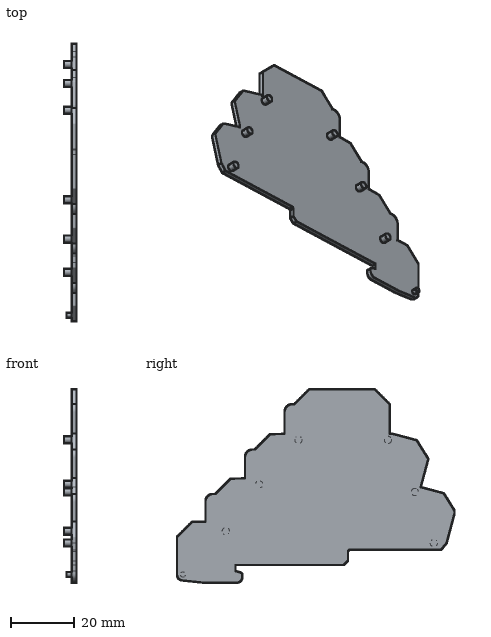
import cadquery as cq
import math


total_thickness = 3.98
total_length = 87.8
total_height = 61.25

peg_height = 2.4
peg_diameter = 2.3
locating_peg_height = 1.6
locating_peg_diameter = 1.6
plate_thickness = total_thickness - peg_height
peg_centres = [
    (66.7, 45.2),
    (75.2, 28.7),
    (81.2, 12.6),
    (38.45, 45.2),
    (26.0, 31.15),
    (15.5, 16.35),
]
locating_peg_centre = (1.95, 2.65)

first_riser_y = 9.0
riser_pitch = 12.5
riser_count = 3
riser_ys = [first_riser_y + step * riser_pitch for step in range(riser_count)]
tread_zs = [19.35, 33.1, 47.15]
shoulder_zs = [28.15, 42.2, 56.5]
shoulder_radius = 2.5
shoulder_width = 3.15
tread_tilt = math.radians(2)
outer_chamfer = 4.85
corner_radius = 0.5

crown_near_y = riser_ys[-1] + shoulder_width + total_height - shoulder_zs[-1]
crown_far_y = 67.35

lobe_tilt = math.radians(15)
lobe_nose_tilt = math.radians(32)
upper_lobe_root = (68.2, tread_zs[-1])
upper_lobe_shoulder_y = 75.8
upper_lobe_tip_y = 79.5
lobe_notch_z = 30.3
lower_lobe_shoulder_y = 84.35
lower_lobe_tip_radius = 2.0
lower_lobe_heel_z = 12.55

far_base_z = 10.4
far_base_end_y = 83.5
mid_base_z = 5.6
base_step_y = 54.1
base_step_top_chamfer = 0.4
base_step_bottom_chamfer = 1.35

hook_root_y = 18.55
hook_root_z = 3.8
hook_tip_y = 20.75
hook_lip_radius = 0.8
hook_heel_radius = 1.9
hook_tilt = math.radians(17)
sole_slope_start_y = 8.7
sole_slope = math.radians(6)
foot_corner_radius = 2.0


def fall_outward(start, end_y, tilt):
    """Point at end_y on a line that falls from start at the given angle to the Y axis."""
    drop = (end_y - start[0]) * math.tan(tilt)
    return (end_y, start[1] - drop)


def fall_inward(start, end_z, tilt):
    """Point at end_z on a line that leans back from start at the given angle to the Z axis."""
    setback = (start[1] - end_z) * math.tan(tilt)
    return (start[0] - setback, end_z)


def ramp_top(foot_y, foot_z, tread_root):
    """Corner where a 45 degree ramp meets the tread that falls gently from its riser."""
    fall = math.tan(tread_tilt)
    rise = (tread_root[1] - foot_z - (tread_root[0] - foot_y) * fall) / (1 - fall)
    return (foot_y + rise, foot_z + rise)


def sharp_lobe_tip_y():
    """Y of the lower lobe's corner before rounding brings it back to the overall length."""
    tangent_span = math.tan(lobe_nose_tilt / 2) + math.tan(lobe_tilt / 2)
    edge_span = 1 / math.tan(lobe_nose_tilt) + 1 / math.tan(lobe_tilt)
    return total_length + lower_lobe_tip_radius * tangent_span / edge_span


def outline_points():
    """Sharp-cornered outline, with a radius for each corner that is rounded."""
    points = []
    rounded = []

    def add(point, radius=None):
        points.append(point)
        if radius:
            rounded.append((point, radius))

    add((0, tread_zs[0] - outer_chamfer), corner_radius)
    add((outer_chamfer, tread_zs[0]), corner_radius)
    for step, riser_y in enumerate(riser_ys):
        shoulder_z = shoulder_zs[step]
        add((riser_y, tread_zs[step]))
        add((riser_y, shoulder_z), shoulder_radius)
        shoulder_end_y = riser_y + shoulder_width
        add((shoulder_end_y, shoulder_z))
        if step + 1 < riser_count:
            tread_root = (riser_ys[step + 1], tread_zs[step + 1])
            add(ramp_top(shoulder_end_y, shoulder_z, tread_root), corner_radius)

    add((crown_near_y, total_height), corner_radius)
    add((crown_far_y - outer_chamfer, total_height), corner_radius)
    add((crown_far_y, total_height - outer_chamfer), corner_radius)
    add((crown_far_y, tread_zs[-1]))

    upper_shoulder = fall_outward(upper_lobe_root, upper_lobe_shoulder_y, lobe_tilt)
    upper_tip = fall_outward(upper_shoulder, upper_lobe_tip_y, math.pi / 2 - lobe_nose_tilt)
    notch = fall_inward(upper_tip, lobe_notch_z, lobe_tilt)
    lower_shoulder = fall_outward(notch, lower_lobe_shoulder_y, lobe_tilt)
    lower_tip = fall_outward(lower_shoulder, sharp_lobe_tip_y(), math.pi / 2 - lobe_nose_tilt)
    add(upper_lobe_root)
    add(upper_shoulder, corner_radius)
    add(upper_tip, corner_radius)
    add(notch)
    add(lower_shoulder, corner_radius)
    add(lower_tip, lower_lobe_tip_radius)
    add(fall_inward(lower_tip, lower_lobe_heel_z, lobe_tilt))

    add((far_base_end_y, far_base_z))
    add((base_step_y + base_step_top_chamfer, far_base_z))
    add((base_step_y, far_base_z - base_step_top_chamfer))
    add((base_step_y, mid_base_z + base_step_bottom_chamfer))
    add((base_step_y - base_step_bottom_chamfer, mid_base_z))

    hook_root = (hook_root_y, hook_root_z)
    add((hook_root_y, mid_base_z))
    add(hook_root)
    add(fall_outward(hook_root, hook_tip_y, hook_tilt), hook_lip_radius)
    add((hook_tip_y, 0), hook_heel_radius)
    add((sole_slope_start_y, 0))
    add((0, sole_slope_start_y * math.tan(sole_slope)), foot_corner_radius)
    return points, rounded


def make_plate():
    points, rounded = outline_points()
    plate = cq.Workplane("YZ").polyline(points).close().extrude(plate_thickness)
    for (y, z), radius in rounded:
        corner = cq.selectors.NearestToPointSelector((plate_thickness / 2, y, z))
        plate = plate.edges("|X").edges(corner).fillet(radius)
    return plate


def make_pegs(centres, diameter, height):
    """Pegs rising from mid-plate so that they fuse with it."""
    root_depth = plate_thickness / 2
    pegs = cq.Workplane("YZ", origin=(root_depth, 0, 0)).pushPoints(centres)
    return pegs.circle(diameter / 2).extrude(-(height + root_depth))


plate = make_plate()
pegs = make_pegs(peg_centres, peg_diameter, peg_height)
locating_peg = make_pegs([locating_peg_centre], locating_peg_diameter, locating_peg_height)
result = plate.union(pegs).union(locating_peg)